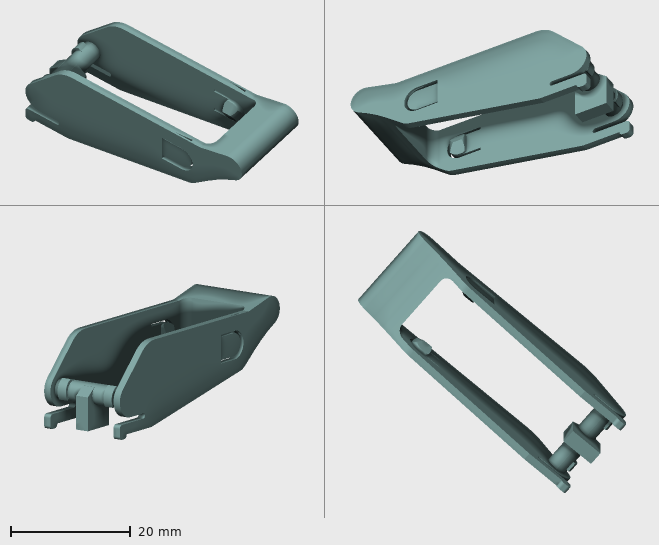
import cadquery as cq
import math

length = 45.49
width = 15.6
height = 16.98
wall = 1.3
wall_overlap = wall / 2
inner_half = width / 2 - wall
outer_y = -width / 2
inner_y = -inner_half

top_z = 15.5
nose_radius = 3.0
slot_width = 0.9
slot_top = 3.44
slot_bottom = slot_top - slot_width
slot_tip_x = 7.1
nose_x = nose_radius
nose_z = slot_top + nose_radius
nose_angle = math.radians(45)
shoulder_radius = 5.0
kink_x = 36.7
tip_radius = 2.5
tip_x = length - tip_radius
tip_z = height - tip_radius
tip_lower_angle = math.radians(27)
waist = (38.4, 8.65)
belly = (35.0, 5.93)
belly_radius = 3.0
heel_x = 9.0
finger_z = 0.7
hook_radius = finger_z
hook_x = 1.25
finger_front_radius = 0.6

cavity_end_x = 38.25
cavity_radius = 1.5

pin_center = (3.0, 6.48)
pin_radius = 1.82
pin_front_radius = 1.76
lug_radius = 2.28
lug_width = 1.7
lug_offset = 4.72
lug_top_outer_angle = math.radians(112)
lug_top_inner_angle = math.radians(99)
lug_bottom_angle = math.radians(219)
tab_width = 2.4
tab_length = 6.0
tab_bottom = finger_z
tab_end_z = 6.49
tab_front_meet = (1.85, 7.89)
tab_rear_meet = (4.05, 8.02)

latch_x = 32.7
latch_z = 10.46
window_start_x = 28.7
window_radius = 2.45
tongue_radius = 2.0
tongue_tip_x = latch_x + tongue_radius
tongue_recess = 0.3
relief_start_x = 31.2
relief_width = 0.38
bump_start_x = 31.4
bump_corner_radius = 0.65
bump_height = 1.4
bump_edge_height = 0.35
bump_front_height = 1.1
bump_front_chamfer = 0.15
bump_ridge_end_x = 33.2
bump_ramp_x = 34.1
bump_ramp_height = 0.79


def polar(center, radius, angle):
    return (center[0] + radius * math.cos(angle), center[1] + radius * math.sin(angle))


def prism(outline, y_start, y_end):
    """Extrude a closed XZ outline from y_start to y_end."""
    return outline.extrude(y_start - y_end).translate((0, y_start, 0))


def round_edge(solid, x, z, radius):
    """Round the edge that runs along Y through (x, z)."""
    return solid.edges(cq.selectors.NearestToPointSelector((x, 0, z))).fillet(radius)


def make_body():
    nose_top = polar((nose_x, nose_z), nose_radius, math.pi / 2 + nose_angle)
    shoulder_x = nose_top[0] + (top_z - nose_top[1]) / math.tan(nose_angle)
    to_tip = (tip_x - kink_x, tip_z - top_z)
    rise_angle = math.atan2(to_tip[1], to_tip[0]) + math.asin(tip_radius / math.hypot(*to_tip))
    tip_center = (tip_x, tip_z)
    outline = (
        cq.Workplane("XZ")
        .moveTo(0, slot_bottom)
        .lineTo(0, 0)
        .lineTo(hook_x, 0)
        .threePointArc(
            polar((hook_x, hook_radius), hook_radius, -math.pi / 4), (hook_x + hook_radius, finger_z)
        )
        .lineTo(heel_x, finger_z)
        .lineTo(*belly)
        .lineTo(*waist)
        .tangentArcPoint(polar(tip_center, tip_radius, tip_lower_angle - math.pi / 2), relative=False)
        .threePointArc((length, tip_z), polar(tip_center, tip_radius, rise_angle + math.pi / 2))
        .lineTo(kink_x, top_z)
        .lineTo(shoulder_x, top_z)
        .lineTo(*nose_top)
        .threePointArc(polar((nose_x, nose_z), nose_radius, math.pi), (nose_x, slot_top))
        .lineTo(slot_tip_x - slot_width / 2, slot_top)
        .threePointArc((slot_tip_x, slot_top - slot_width / 2), (slot_tip_x - slot_width / 2, slot_bottom))
        .close()
    )
    body = prism(outline, outer_y, -outer_y)
    body = round_edge(body, shoulder_x, top_z, shoulder_radius)
    body = round_edge(body, *belly, belly_radius)
    body = round_edge(body, 0, 0, finger_front_radius)
    body = round_edge(body, 0, slot_bottom, finger_front_radius)
    cavity = (
        cq.Workplane("XY")
        .box(2 * cavity_end_x, 2 * inner_half, height, centered=(True, True, False))
        .edges("|Z and >X")
        .fillet(cavity_radius)
    )
    return body.cut(cavity)


def make_lug(y_middle):
    middle_angle = (lug_top_outer_angle + lug_bottom_angle) / 2
    outline = (
        cq.Workplane("XZ")
        .moveTo(*pin_center)
        .lineTo(pin_center[0], pin_center[1] + pin_radius)
        .threePointArc(
            polar(pin_center, pin_radius, (math.pi / 2 + lug_top_inner_angle) / 2),
            polar(pin_center, pin_radius, lug_top_inner_angle),
        )
        .lineTo(*polar(pin_center, lug_radius, lug_top_outer_angle))
        .threePointArc(
            polar(pin_center, lug_radius, middle_angle), polar(pin_center, lug_radius, lug_bottom_angle)
        )
        .close()
    )
    return prism(outline, y_middle - lug_width / 2, y_middle + lug_width / 2)


def make_half_pin(radius, side):
    """Half of the pin, in front of (side -1) or behind (side 1) its axis."""
    x, z = pin_center
    half_circle = (
        cq.Workplane("XZ")
        .moveTo(x, z - radius)
        .threePointArc((x + side * radius, z), (x, z + radius))
        .close()
    )
    pin_half_length = inner_half + wall_overlap
    return prism(half_circle, -pin_half_length, pin_half_length)


def make_pin():
    pin = make_half_pin(pin_front_radius, -1).union(make_half_pin(pin_radius, 1))
    tab = (
        cq.Workplane("XZ")
        .polyline([
            (0, tab_bottom),
            (tab_length, tab_bottom),
            (tab_length, tab_end_z),
            tab_rear_meet,
            tab_front_meet,
            (0, tab_end_z),
        ])
        .close()
    )
    pin = pin.union(prism(tab, -tab_width / 2, tab_width / 2))
    for side in (-1, 1):
        pin = pin.union(make_lug(side * lug_offset))
    return pin


def latch_outline(start_x, radius):
    """Flat start at start_x, half-round end around the latch centre."""
    return (
        cq.Workplane("XZ")
        .moveTo(start_x, latch_z - radius)
        .lineTo(latch_x, latch_z - radius)
        .threePointArc((latch_x + radius, latch_z), (latch_x, latch_z + radius))
        .lineTo(start_x, latch_z + radius)
        .close()
    )


def make_window():
    """Material removed around and outside the recessed tongue of the -Y wall, with the slit above it."""
    recess_y = outer_y + tongue_recess
    window = prism(latch_outline(window_start_x, window_radius), outer_y, inner_y)
    tongue = prism(latch_outline(window_start_x, tongue_radius), recess_y, inner_y)
    slit = (
        cq.Workplane("XY")
        .workplane(offset=latch_z)
        .polyline([
            (relief_start_x, recess_y),
            (tongue_tip_x, recess_y),
            (tongue_tip_x, recess_y + relief_width),
        ])
        .close()
        .extrude(height - latch_z)
    )
    return window.union(slit).cut(tongue)


def make_bump():
    """Ridge-shaped detent on the inside of the tongue of the -Y wall."""
    peak_y = inner_y + bump_height
    root_y = inner_y - wall_overlap
    footprint = (
        prism(latch_outline(bump_start_x, tongue_radius), root_y, peak_y)
        .edges("|Y and <X")
        .fillet(bump_corner_radius)
    )
    roof = (
        cq.Workplane("YZ")
        .polyline([
            (root_y, latch_z - tongue_radius),
            (inner_y + bump_edge_height, latch_z - tongue_radius),
            (peak_y, latch_z),
            (inner_y + bump_edge_height, latch_z + tongue_radius),
            (root_y, latch_z + tongue_radius),
        ])
        .close()
        .extrude(length)
    )
    ramp = (
        cq.Workplane("XY")
        .moveTo(bump_start_x, root_y)
        .lineTo(bump_start_x, inner_y + bump_front_height)
        .lineTo(bump_start_x + bump_front_chamfer, peak_y)
        .lineTo(bump_ridge_end_x, peak_y)
        .threePointArc((bump_ramp_x, inner_y + bump_ramp_height), (tongue_tip_x, inner_y))
        .lineTo(tongue_tip_x, root_y)
        .close()
        .extrude(height)
    )
    return footprint.intersect(roof).intersect(ramp)


def both_sides(solid):
    return solid.union(solid.mirror("XZ"))


result = (
    make_body()
    .cut(both_sides(make_window()))
    .union(both_sides(make_bump()))
    .union(make_pin())
)